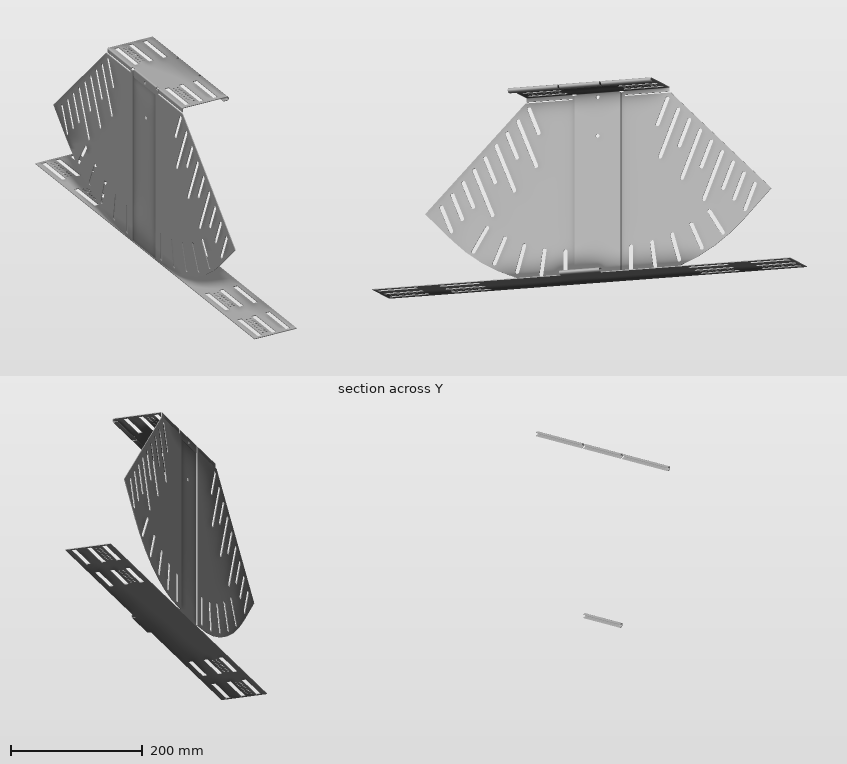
import cadquery as cq
import math

DIAGONAL = math.sqrt(0.5)

height = 295.0
depth = 82.0
outer_wall_length = 678.0
inner_wall_length = 232.0
sheet = 1.25

lip_front = sheet
web_front = 2 * sheet
web_back = 3 * sheet

hem_radius = 3.5
hem_return = 5.5
hem_start = depth - hem_radius
hem_gap_inner_x = 32.5
hem_gap_outer_x = 35.5
hem_relief_depth = 3.0

joggle_inner = 35.5
joggle_outer = 37.5
fan_shoulder = 42.0
fan_peak_drop = 3.0
web_hole_drop = 68.0

fan_top_drop = 9.0
fan_top_half = 118.0
fan_tip_half = 281.0
fan_tip_drop = 168.5
fan_bottom_drop = height - 3.0
fan_arc_x = 45.0

slot_width = 6.5
edge_slot_tilt = 22.5
edge_slot_count = 9
edge_slot_pitch = 17.75
edge_slot_first_x = 113.5
edge_slot_first_drop = 15.2
edge_slot_short = 47.5
edge_slot_long = 83.0
edge_slot_long_ones = (1, 3, 5)
rim_slot_count = 5
rim_slot_length = 47.5
rim_slot_circle = 263.6
rim_slot_pivot_x = 38.0
rim_slot_first_angle = 3.3
rim_slot_pitch_angle = 8.07

wall_slot_length = 64.0
wall_slot_width = 7.5
wall_slot_rows = (13.5, 38.0, 62.5)
pinhole_diameter = 3.0
pinhole_pitch = 6.25
pinhole_count = 9
pinhole_rows = (22.5, 28.7)
outer_wall_groups = (202.0, 302.3)
inner_wall_groups = (77.6,)
outer_wall_back = 74.7

bend_radius = 2.0
lip_height = 7.5
lip_inner_x = 41.5
tab_height = 14.0
tab_half = 34.5
tab_corner = 3.0
tab_hole_drop = 8.0
bolt_hole_diameter = 6.0


def box(x0, x1, y0, y1, z0, z1):
    return cq.Workplane("XY").box(x1 - x0, y1 - y0, z1 - z0, centered=False).translate((x0, y0, z0))


def both_sides(shape):
    return shape.union(shape.mirror("YZ"))


def front_sketch(y):
    """Workplane at depth y with local axes X and Z; it extrudes toward -Y."""
    return cq.Workplane("XZ", origin=(0, y, 0))


def hem(x0, x1):
    """Rolled hem below the plane z = 0, from x0 to x1."""
    inner = hem_radius - sheet
    floor = -2 * hem_radius
    return (
        cq.Workplane("YZ", origin=(x0, 0, 0))
        .moveTo(hem_start, 0)
        .threePointArc((depth, -hem_radius), (hem_start, floor))
        .lineTo(hem_start - hem_return, floor)
        .lineTo(hem_start - hem_return, floor + sheet)
        .lineTo(hem_start, floor + sheet)
        .threePointArc((hem_start + inner, -hem_radius), (hem_start, -sheet))
        .close()
        .extrude(x1 - x0)
    )


def wall_perforation(groups, z):
    """Slots and pinholes of every group, cutting the sheet whose middle lies at z."""
    centers = [side * x for x in groups for side in (-1, 1)]
    slots = (
        cq.Workplane("XY", origin=(0, 0, z))
        .pushPoints([(x, y) for x in centers for y in wall_slot_rows])
        .rect(wall_slot_length, wall_slot_width)
        .extrude(sheet, both=True)
    )
    middle = (pinhole_count - 1) / 2
    pinholes = (
        cq.Workplane("XY", origin=(0, 0, z))
        .pushPoints(
            [(x + (i - middle) * pinhole_pitch, y)
             for x in centers for i in range(pinhole_count) for y in pinhole_rows]
        )
        .circle(pinhole_diameter / 2)
        .extrude(sheet, both=True)
    )
    return slots.union(pinholes)


def fan():
    """Right-hand fan sheet with its slots."""
    rise_to_tip = fan_bottom_drop - fan_tip_drop
    run_to_tip = fan_tip_half - fan_arc_x
    radius = (run_to_tip - rise_to_tip) / (math.sqrt(2) - 1)
    center_z = radius - fan_bottom_drop
    mid_angle = math.radians(22.5)
    sheet_body = (
        front_sketch(sheet)
        .moveTo(joggle_inner, -fan_peak_drop)
        .lineTo(fan_shoulder, -fan_peak_drop)
        .lineTo(fan_shoulder, -fan_top_drop)
        .lineTo(fan_top_half, -fan_top_drop)
        .lineTo(fan_tip_half, -fan_tip_drop)
        .lineTo(fan_arc_x + radius * DIAGONAL, center_z - radius * DIAGONAL)
        .threePointArc(
            (fan_arc_x + radius * math.sin(mid_angle), center_z - radius * math.cos(mid_angle)),
            (fan_arc_x, -fan_bottom_drop),
        )
        .lineTo(joggle_inner, -fan_bottom_drop)
        .close()
        .extrude(sheet)
    )
    return sheet_body.cut(fan_slots())


def fan_slot(x, z, length, angle):
    return front_sketch(2 * sheet).center(x, z).slot2D(length, slot_width, angle).extrude(3 * sheet)


def fan_slots():
    slots = cq.Workplane("XY")
    tilt = math.radians(edge_slot_tilt)
    for i in range(edge_slot_count):
        length = edge_slot_long if i in edge_slot_long_ones else edge_slot_short
        x = edge_slot_first_x + i * edge_slot_pitch - length / 2 * math.sin(tilt)
        z = -edge_slot_first_drop - i * edge_slot_pitch - length / 2 * math.cos(tilt)
        slots = slots.add(fan_slot(x, z, length, 90 - edge_slot_tilt))
    for i in range(rim_slot_count):
        turn = i * rim_slot_pitch_angle
        angle = math.radians(rim_slot_first_angle + turn)
        x = rim_slot_pivot_x + rim_slot_circle * math.sin(angle)
        z = -rim_slot_circle * math.cos(angle)
        slots = slots.add(fan_slot(x, z, rim_slot_length, 90 + turn))
    return slots.combine()


def make_bend():
    """Web, the two fans joggled to its front, and the long outer wall at the bottom."""
    web = box(-joggle_inner, joggle_inner, web_front, web_back, -height, -fan_peak_drop)
    web = web.cut(
        front_sketch(web_back)
        .pushPoints([(0, -web_hole_drop), (0, -tab_hole_drop)])
        .circle(bolt_hole_diameter / 2)
        .extrude(sheet)
    )
    joggle = box(joggle_inner, joggle_outer, 0, web_back, -fan_bottom_drop, -fan_peak_drop)
    half = outer_wall_length / 2
    wall = box(-half, half, lip_front, outer_wall_back, -height, sheet - height)
    wall = wall.cut(wall_perforation(outer_wall_groups, sheet / 2 - height))
    center = hem_gap_inner_x
    hem_land = box(-center, center, lip_front, hem_start, -height, sheet - height)
    bottom_hem = hem(-center, center).mirror("XY").translate((0, 0, -height))
    return web.union(both_sides(fan().union(joggle))).union(wall).union(hem_land).union(bottom_hem)


def lip(x0, x1, drop):
    """Lip folded down from the front edge of the inner wall, with its rounded bend."""
    inner = bend_radius - sheet
    bend_y = lip_front + bend_radius
    return (
        cq.Workplane("YZ", origin=(x0, 0, 0))
        .moveTo(bend_y, 0)
        .threePointArc((bend_y - bend_radius * DIAGONAL, (DIAGONAL - 1) * bend_radius), (lip_front, -bend_radius))
        .lineTo(lip_front, -drop)
        .lineTo(web_front, -drop)
        .lineTo(web_front, -bend_radius)
        .threePointArc((bend_y - inner * DIAGONAL, inner * DIAGONAL - bend_radius), (bend_y, -sheet))
        .close()
        .extrude(x1 - x0)
    )


def make_inner_wall():
    """Short wall at the top with a hem behind, lips in front and a bolted tab."""
    half = inner_wall_length / 2
    wall = box(-half, half, lip_front + bend_radius, hem_start, -sheet, 0)
    hem_relief = box(hem_gap_inner_x, hem_gap_outer_x, hem_start - hem_relief_depth, depth, -sheet, 0)
    wall = wall.cut(both_sides(hem_relief))
    wall = wall.cut(wall_perforation(inner_wall_groups, -sheet / 2))
    tab = lip(-tab_half, tab_half, tab_height).faces("<Z").edges("|Y").fillet(tab_corner)
    tab = tab.cut(
        front_sketch(web_front).center(0, -tab_hole_drop).circle(bolt_hole_diameter / 2).extrude(sheet)
    )
    hems = both_sides(hem(hem_gap_outer_x, half)).union(hem(-hem_gap_inner_x, hem_gap_inner_x))
    return wall.union(both_sides(lip(lip_inner_x, half, lip_height))).union(tab).union(hems)


bend = make_bend()
inner_wall = make_inner_wall()
result = cq.Compound.makeCompound([bend.solids().val(), inner_wall.solids().val()])